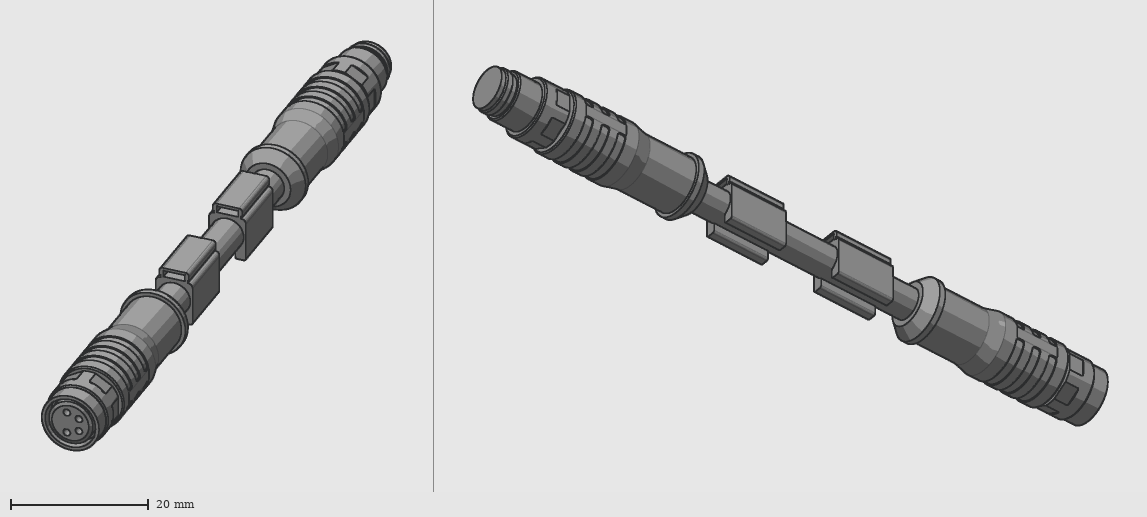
import cadquery as cq
import math

total_length = 111.9
cable_diameter = 5.1

nut_diameter = 9.6
nut_length = 4.6
nut_chamfer = 0.2
flat_count = 6
flat_width = 3.0
flat_length = 2.5
flat_corner = 0.2
neck_diameter = 6.9
neck_length = 0.6

grip_diameter = 10.3
grip_chamfer = 0.2
grip_length = 11.9
shank_diameter = 9.1
taper_length = 2.6
shank_length = 8.6
flange_length = 1.0
tail_length = 1.9
tail_diameter = 7.2

groove_diameter = 9.8
groove_count = 3
groove_width = 1.5
groove_pitch = 3.0
groove_start = 2.1
groove_corner = 0.5
land_width = 2.1
pad_width = 1.9

nose_tip_diameter = 6.7
nose_ring_diameter = 7.2
nose_ring_start = 1.0
nose_ring_end = 1.9
nose_tip_length = 2.8
nose_sleeve_diameter = 8.0
nose_sleeve_chamfer = 0.2
plug_nose_length = 7.0

socket_nose_length = 2.6
socket_bore_diameter = 8.0
carrier_diameter = 6.9
carrier_face_diameter = 5.8
carrier_bevel_depth = 0.2
gap_depth = 2.2
contact_hole_diameter = 1.1
contact_hole_depth = 2.2
contact_x_inner = -0.6
contact_z_inner = 1.7
contact_x_outer = 1.3
contact_z_outer = 1.0

clip_length = 10.1
clip_half_pitch = 10.0
clip_half_width = 2.9
clip_bottom = -3.9
clip_shoulder = 3.0
clip_shoulder_radius = 0.7
clip_neck_half_width = 2.1
clip_plate_half_width = 2.3
clip_plate_bottom = 3.4
clip_plate_radius = 0.6
clip_top = 4.7
clip_opening_width = 2.5
clip_leg_radius = 0.3
label_slot_width = 3.4
label_slot_bottom = 3.2
label_slot_top = 4.3


def cylinder(diameter, start, length):
    """Cylinder about the Y axis, from y = start to y = start + length."""
    base = cq.Vector(0, start, 0)
    along_y = cq.Vector(0, 1, 0)
    return cq.Workplane(cq.Solid.makeCylinder(diameter / 2, length, base, along_y))


def revolved(stations):
    """Solid of revolution about Y through (diameter, y) stations."""
    outline = [(diameter / 2, y) for diameter, y in stations]
    axis_points = [(0, stations[-1][1]), (0, stations[0][1])]
    profile = cq.Workplane("XY").polyline(outline + axis_points).close()
    return profile.revolve(360, (0, 0, 0), (0, 1, 0))


def nut(start):
    """Coupling nut whose flats alternate with ribs; the top and bottom are ribs."""
    end = start + nut_length
    edge_diameter = nut_diameter - 2 * nut_chamfer
    body = revolved([
        (edge_diameter, start),
        (nut_diameter, start + nut_chamfer),
        (nut_diameter, end),
    ])
    flat_distance = math.sqrt((nut_diameter / 2) ** 2 - (flat_width / 2) ** 2)
    cutter = cq.Workplane("XY").box(
        nut_diameter, flat_length, flat_width, centered=(False, False, True)
    ).edges("<Y and |X").fillet(flat_corner).translate((flat_distance, end - flat_length, 0))
    for index in range(flat_count):
        body = body.cut(cutter.rotate((0, 0, 0), (0, 1, 0), index * 360 / flat_count))
    return body


def grip_groove(start):
    """Ring-shaped cutter with rounded ends, leaving a land on both sides."""
    ring = cylinder(2 * grip_diameter, start, groove_width).cut(
        cylinder(groove_diameter, start, groove_width)
    )
    half_window = cq.Workplane("XY").box(
        2 * grip_diameter, groove_width, grip_diameter, centered=(True, False, False)
    ).edges("<Z and |X").fillet(groove_corner).translate((0, start, land_width / 2))
    window = half_window.union(half_window.mirror("XY"))
    return ring.intersect(window)


def grip(start):
    """Grip with grooves and side pads, tapering to the shank and the tail flange."""
    grip_end = start + grip_length
    taper_end = grip_end + taper_length
    flange_start = taper_end + shank_length
    flange_end = flange_start + flange_length
    body = revolved([
        (grip_diameter - 2 * grip_chamfer, start),
        (grip_diameter, start + grip_chamfer),
        (grip_diameter, grip_end),
        (shank_diameter, taper_end),
        (shank_diameter, flange_start),
        (grip_diameter, flange_start),
        (grip_diameter, flange_end),
        (tail_diameter, flange_end + tail_length),
    ])
    first_groove = start + groove_start
    for index in range(groove_count):
        body = body.cut(grip_groove(first_groove + index * groove_pitch))

    pad_length = (groove_count - 1) * groove_pitch + groove_width
    pad_distance = math.sqrt((grip_diameter / 2) ** 2 - (pad_width / 2) ** 2)
    pad_cutter = cq.Workplane("XY").box(
        grip_diameter, pad_length, grip_diameter, centered=(False, False, True)
    ).translate((pad_distance, first_groove, 0))
    return body.cut(pad_cutter).cut(pad_cutter.mirror("YZ"))


def connector(nose, nose_length):
    """Nose, nut, neck and grip in line, with the nose face at y = 0."""
    nut_end = nose_length + nut_length
    neck = cylinder(neck_diameter, nut_end, neck_length)
    return nose.union(nut(nose_length)).union(neck).union(grip(nut_end + neck_length))


def plug_nose():
    """Stepped nose with a snap ring behind its tip."""
    return revolved([
        (nose_tip_diameter, 0),
        (nose_tip_diameter, nose_ring_start - (nose_ring_diameter - nose_tip_diameter) / 2),
        (nose_ring_diameter, nose_ring_start),
        (nose_ring_diameter, nose_ring_end),
        (nose_tip_diameter, nose_ring_end),
        (nose_tip_diameter, nose_tip_length),
        (nose_sleeve_diameter - 2 * nose_sleeve_chamfer, nose_tip_length),
        (nose_sleeve_diameter, nose_tip_length + nose_sleeve_chamfer),
        (nose_sleeve_diameter, plug_nose_length),
    ])


def socket_nose():
    """Sleeve around a contact carrier with four contact holes."""
    carrier = revolved([
        (carrier_face_diameter, 0),
        (carrier_diameter, carrier_bevel_depth),
        (carrier_diameter, gap_depth),
    ])
    sleeve = cylinder(shank_diameter, 0, socket_nose_length)
    body = sleeve.cut(cylinder(socket_bore_diameter, 0, gap_depth)).union(carrier)
    hole = cylinder(contact_hole_diameter, 0, contact_hole_depth)
    for side in (-1, 1):
        body = body.cut(hole.translate((contact_x_inner, 0, side * contact_z_inner)))
        body = body.cut(hole.translate((contact_x_outer, 0, side * contact_z_outer)))
    return body


def clip_block(width, bottom, top):
    """Block as long as a clip, centred on the cable."""
    block = cq.Workplane("XY").box(width, clip_length, top - bottom, centered=(True, True, False))
    return block.translate((0, 0, bottom))


def clip(center):
    """Label clip that straddles the cable, open below, with a label slot under its top plate."""
    saddle = clip_block(2 * clip_half_width, clip_bottom, clip_shoulder)
    saddle = saddle.edges("|Y and >Z").fillet(clip_shoulder_radius)
    saddle = saddle.cut(clip_block(clip_opening_width, clip_bottom, 0))
    saddle = saddle.edges("|Y and <Z").fillet(clip_leg_radius)
    neck = clip_block(2 * clip_neck_half_width, 0, clip_top - clip_plate_radius)
    plate = clip_block(2 * clip_plate_half_width, clip_plate_bottom, clip_top)
    plate = plate.edges("|Y and >Z").fillet(clip_plate_radius)
    label_slot = clip_block(label_slot_width, label_slot_bottom, label_slot_top)
    return saddle.union(neck).union(plate).cut(label_slot).translate((0, center, 0))


socket = connector(socket_nose(), socket_nose_length).translate((0, -total_length / 2, 0))
plug = connector(plug_nose(), plug_nose_length).rotate((0, 0, 0), (0, 0, 1), 180)
plug = plug.translate((0, total_length / 2, 0))

shell_length = grip_length + taper_length + shank_length + flange_length + tail_length
body_length = nut_length + neck_length + shell_length
cable_start = -total_length / 2 + socket_nose_length + body_length
cable_end = total_length / 2 - plug_nose_length - body_length
cable = cylinder(cable_diameter, cable_start, cable_end - cable_start)
cable_center = (cable_start + cable_end) / 2

result = cable.union(socket).union(plug)
for side in (-1, 1):
    result = result.union(clip(cable_center + side * clip_half_pitch))